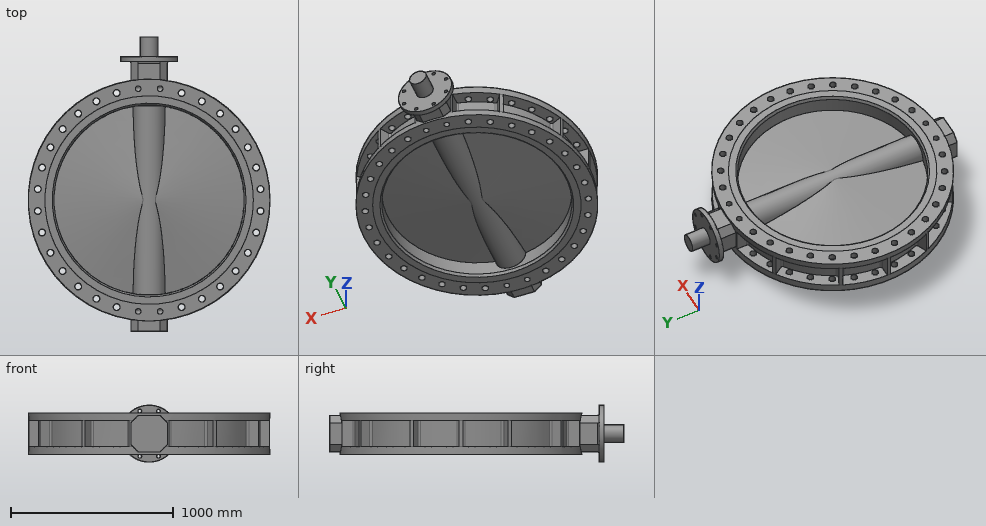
import cadquery as cq
import math


FLANGE_RADIUS = 743.0
FLANGE_RIM_TAPER = 4.0
FLANGE_THICKNESS = 49.0
HALF_HEIGHT = 128.0
WEB_RADIUS = 663.0
RIB_TIP_RADIUS = FLANGE_RADIUS - FLANGE_RIM_TAPER
GROOVE_HALF_HEIGHT = HALF_HEIGHT - FLANGE_THICKNESS

RIB_THICKNESS = 23.0
RIB_FILLET = 13.0
RIB_ANGLES_FROM_X = (-57, -24, 0, 24, 57)
NECK_RIB_THICKNESS = 245.0

BOLT_COUNT = 32
BOLT_PITCH = 360 / BOLT_COUNT
BOLT_CIRCLE_RADIUS = 687.0
BOLT_HOLE_RADIUS = 20.0
TAPPED_HOLE_RADIUS = 17.2
TAPPED_HOLE_DEPTH = 63.0
DRILL_TIP_HALF_ANGLE = 59

NECK_HALF_WIDTH = 112.0
NECK_CORNER_CHAMFER = 45.0
NECK_FLAT_WIDTH = 2 * (NECK_HALF_WIDTH - NECK_CORNER_CHAMFER)
NECK_TOP = 850.0
NECK_BOTTOM = -806.0
FLARE_LENGTH = 10.0
FLARE_WIDTH = 4.0

PLATE_RADIUS = 175.0
PLATE_THICKNESS = 30.0
PLATE_BOLT_COUNT = 8
PLATE_BOLT_CIRCLE_RADIUS = 150.0
PLATE_BOLT_HOLE_RADIUS = 10.0

STEM_DIAMETER = 110.0
STEM_RADIUS = STEM_DIAMETER / 2
STEM_TOP = 1001.0
STEM_BOTTOM = -740.0

LINER_OUTER_RADIUS = 640.0
LINER_BORE_RADIUS = 584.0
LINER_CHAMFER_WIDTH = 10.0
LINER_CHAMFER_DEPTH = 18.0

DISC_RADIUS = LINER_BORE_RADIUS
DISC_RIM_HALF_THICKNESS = 7.0
DISC_APEX_HEIGHT = 98.0
HUB_RADIUS = 100.0
HUB_HALF_LENGTH = 578.0


def cylinder_along_y(radius, y_start, y_end):
    """Solid cylinder on the stem axis between two Y positions."""
    return cq.Workplane("XZ", origin=(0, y_start, 0)).circle(radius).extrude(y_start - y_end)


def revolved(profile):
    """Solid turned about the bore axis from (radius, height) points."""
    return cq.Workplane("XZ").polyline(profile).close().revolve(360, (0, 0), (0, 1))


def flanged_ring():
    """Two taper-rimmed flanges joined by a cylindrical web, still without the bore."""
    return revolved([
        (0, -HALF_HEIGHT),
        (FLANGE_RADIUS, -HALF_HEIGHT),
        (RIB_TIP_RADIUS, -GROOVE_HALF_HEIGHT),
        (WEB_RADIUS, -GROOVE_HALF_HEIGHT),
        (WEB_RADIUS, GROOVE_HALF_HEIGHT),
        (RIB_TIP_RADIUS, GROOVE_HALF_HEIGHT),
        (FLANGE_RADIUS, HALF_HEIGHT),
        (0, HALF_HEIGHT),
    ])


def ribbed_web():
    """Web cylinder with all ribs, filleted where the ribs meet it."""
    height = 2 * GROOVE_HALF_HEIGHT
    mid_plane = cq.Workplane("XY")
    web = mid_plane.cylinder(height, WEB_RADIUS)
    ribs = mid_plane.box(NECK_RIB_THICKNESS, 2 * FLANGE_RADIUS, height)
    bar = mid_plane.box(2 * FLANGE_RADIUS, RIB_THICKNESS, height)
    for angle in RIB_ANGLES_FROM_X:
        ribs = ribs.union(bar.rotate((0, 0, 0), (0, 0, 1), angle))
    tip_cylinder = mid_plane.cylinder(height, RIB_TIP_RADIUS)
    ribbed = web.union(ribs.intersect(tip_cylinder))
    corners = [
        edge for edge in ribbed.edges("|Z").vals()
        if math.hypot(edge.Center().x, edge.Center().y) < WEB_RADIUS + RIB_FILLET
    ]
    return ribbed.newObject(corners).fillet(RIB_FILLET)


def octagonal_necks():
    """Octagonal bar along the stem axis that forms the upper and lower necks."""
    side = 2 * NECK_HALF_WIDTH
    bar = (
        cq.Workplane("XZ", origin=(0, NECK_TOP, 0))
        .rect(side, side)
        .extrude(NECK_TOP - NECK_BOTTOM)
        .edges("|Y")
        .chamfer(NECK_CORNER_CHAMFER)
    )
    flare = (
        cq.Workplane("YZ", origin=(-NECK_FLAT_WIDTH / 2, 0, 0))
        .moveTo(NECK_TOP - FLARE_LENGTH, NECK_HALF_WIDTH)
        .lineTo(NECK_TOP, NECK_HALF_WIDTH + FLARE_WIDTH)
        .lineTo(NECK_TOP, 0)
        .lineTo(NECK_TOP - FLARE_LENGTH, 0)
        .close()
        .extrude(NECK_FLAT_WIDTH)
    )
    for quarter in range(4):
        bar = bar.union(flare.rotate((0, 0, 0), (0, 1, 0), 90 * quarter))
    return bar


def tapped_hole():
    """Blind hole with a conical drill tip, going down from the upper flange face on the bolt circle."""
    tip_depth = TAPPED_HOLE_DEPTH + TAPPED_HOLE_RADIUS / math.tan(math.radians(DRILL_TIP_HALF_ANGLE))
    drill = revolved([
        (0, 0),
        (TAPPED_HOLE_RADIUS, 0),
        (TAPPED_HOLE_RADIUS, -TAPPED_HOLE_DEPTH),
        (0, -tip_depth),
    ])
    return drill.translate((BOLT_CIRCLE_RADIUS, 0, HALF_HEIGHT))


def drill_flanges(body):
    """Through holes all round, except blind tapped holes from both faces beside the necks."""
    through = (
        cq.Workplane("XY")
        .center(BOLT_CIRCLE_RADIUS, 0)
        .circle(BOLT_HOLE_RADIUS)
        .extrude(HALF_HEIGHT, both=True)
    )
    upper_tapped = tapped_hole()
    lower_tapped = upper_tapped.mirror("XY")
    for index in range(BOLT_COUNT):
        angle = (index + 0.5) * BOLT_PITCH
        beside_neck = abs(math.cos(math.radians(angle))) < math.sin(math.radians(BOLT_PITCH))
        tools = (upper_tapped, lower_tapped) if beside_neck else (through,)
        for tool in tools:
            body = body.cut(tool.rotate((0, 0, 0), (0, 0, 1), angle))
    return body


def make_housing():
    body = flanged_ring().union(ribbed_web()).union(octagonal_necks())
    body = body.cut(cq.Workplane("XY").cylinder(2 * HALF_HEIGHT, LINER_OUTER_RADIUS))
    body = drill_flanges(body)
    return body.cut(cylinder_along_y(STEM_RADIUS, STEM_BOTTOM, NECK_TOP))


def make_mounting_plate():
    plate = cylinder_along_y(PLATE_RADIUS, NECK_TOP, NECK_TOP + PLATE_THICKNESS)
    bolt_holes = (
        cq.Workplane("XZ", origin=(0, NECK_TOP, 0))
        .polarArray(PLATE_BOLT_CIRCLE_RADIUS, 180 / PLATE_BOLT_COUNT, 360, PLATE_BOLT_COUNT)
        .circle(PLATE_BOLT_HOLE_RADIUS)
        .extrude(-PLATE_THICKNESS)
    )
    stem_hole = cylinder_along_y(STEM_RADIUS, NECK_TOP, NECK_TOP + PLATE_THICKNESS)
    return plate.cut(bolt_holes).cut(stem_hole)


def make_liner():
    bore_top = HALF_HEIGHT - LINER_CHAMFER_DEPTH
    mouth_radius = LINER_BORE_RADIUS + LINER_CHAMFER_WIDTH
    sleeve = revolved([
        (LINER_OUTER_RADIUS, -HALF_HEIGHT),
        (LINER_OUTER_RADIUS, HALF_HEIGHT),
        (mouth_radius, HALF_HEIGHT),
        (LINER_BORE_RADIUS, bore_top),
        (LINER_BORE_RADIUS, -bore_top),
        (mouth_radius, -HALF_HEIGHT),
    ])
    return sleeve.cut(cylinder_along_y(STEM_RADIUS, -FLANGE_RADIUS, FLANGE_RADIUS))


def make_disc():
    """Double cone with a thin cylindrical rim, crossed by the hub that carries the stem."""
    double_cone = revolved([
        (0, -DISC_APEX_HEIGHT),
        (DISC_RADIUS, -DISC_RIM_HALF_THICKNESS),
        (DISC_RADIUS, DISC_RIM_HALF_THICKNESS),
        (0, DISC_APEX_HEIGHT),
    ])
    bore_envelope = cq.Workplane("XY").cylinder(2 * HALF_HEIGHT, LINER_BORE_RADIUS)
    hub = cylinder_along_y(HUB_RADIUS, -HUB_HALF_LENGTH, HUB_HALF_LENGTH).intersect(bore_envelope)
    stem_hole = cylinder_along_y(STEM_RADIUS, -FLANGE_RADIUS, FLANGE_RADIUS)
    return double_cone.union(hub).cut(stem_hole)


def make_stem():
    return cylinder_along_y(STEM_RADIUS, STEM_BOTTOM, STEM_TOP)


housing = make_housing()
mounting_plate = make_mounting_plate()
liner = make_liner()
disc = make_disc()
stem = make_stem()

result = cq.Compound.makeCompound([
    housing.val(),
    mounting_plate.val(),
    liner.val(),
    disc.val(),
    stem.val(),
])